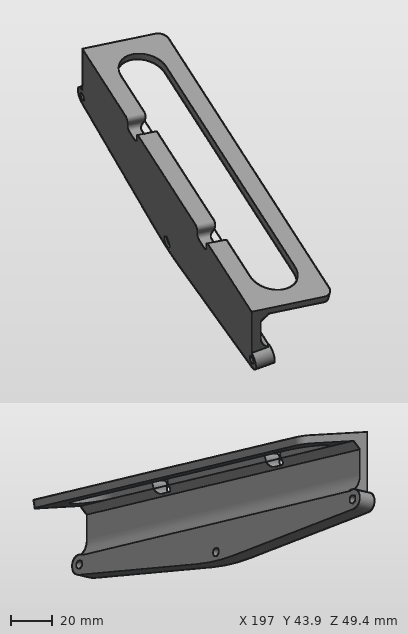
import cadquery as cq
import math

body_length = 187.0
wall_thickness = 5.0
part_height = 49.36

band_depth = 10.0
ear_radius = 5.0
ear_drop = 35.0
ear_hole_diameter = 4.0
cove_radius = 10.0
cove_drop = 22.0
tip_radius = 120.0

middle_hole_drop = 45.0
middle_hole_diameter = 4.0
countersink_diameter = 6.0
countersink_angle = 90.0

plate_angle = 12.0
part_depth = 43.87
top_flat = 0.3
plate_thickness = 4.0
plate_corner_radius = 5.0
gusset_leg = 4.4

slot_margin = 10.0

notch_spacing = 77.0
notch_width = 10.0
notch_depth = 7.0
notch_radius = 2.5

half_length = body_length / 2
slope = math.radians(plate_angle)
plate_length = (part_depth - top_flat) / math.cos(slope)
wall_top_back_z = (top_flat - wall_thickness) * math.tan(slope)


def extrude_along_y(sketch, depth):
    """Extrude an XZ sketch from the front face towards +Y."""
    return sketch.extrude(-depth)


def cylinder_along_y(x, z, diameter, depth):
    """Cylinder from the front face towards +Y, centred on (x, z)."""
    circle = cq.Workplane("XZ").center(x, z).circle(diameter / 2)
    return extrude_along_y(circle, depth)


def make_outline_block():
    """Solid with the front outline of wall and band, ears left out."""
    tip_centre_z = tip_radius - part_height
    rise = tip_centre_z + ear_drop
    centre_distance = math.hypot(half_length, rise)
    tilt = math.asin((tip_radius - ear_radius) / centre_distance) - math.atan2(rise, half_length)
    normal_x = math.sin(tilt)
    normal_z = math.cos(tilt)
    ear_x = half_length + ear_radius * normal_x
    ear_z = -ear_drop - ear_radius * normal_z
    tip_x = tip_radius * normal_x
    tip_z = tip_centre_z - tip_radius * normal_z
    sketch = (
        cq.Workplane("XZ")
        .moveTo(-half_length, 0)
        .lineTo(half_length, 0)
        .lineTo(half_length, -ear_drop)
        .lineTo(ear_x, ear_z)
        .lineTo(tip_x, tip_z)
        .threePointArc((0, -part_height), (-tip_x, tip_z))
        .lineTo(-ear_x, ear_z)
        .lineTo(-half_length, -ear_drop)
        .close()
    )
    return extrude_along_y(sketch, band_depth)


def make_wall():
    """Wall that thickens into the lower band through a concave cove."""
    band_step = band_depth - wall_thickness
    cove_end_z = -cove_drop - math.sqrt(cove_radius**2 - (cove_radius - band_step) ** 2)
    profile = (
        cq.Workplane("YZ")
        .lineTo(top_flat, 0)
        .lineTo(wall_thickness, wall_top_back_z)
        .lineTo(wall_thickness, -cove_drop)
        .radiusArc((band_depth, cove_end_z), -cove_radius)
        .lineTo(band_depth, -part_height)
        .lineTo(0, -part_height)
        .close()
        .extrude(half_length + ear_radius, both=True)
    )
    wall = make_outline_block().intersect(profile)
    for side in (-1, 1):
        ear = cylinder_along_y(side * half_length, -ear_drop, 2 * ear_radius, band_depth)
        wall = wall.union(ear)
    return wall


def make_plate():
    """Sloping plate with its gusset and long slot."""
    plane = cq.Plane(
        origin=(0, top_flat, 0),
        xDir=(1, 0, 0),
        normal=(0, math.sin(slope), math.cos(slope)),
    )
    plate = (
        cq.Workplane(plane)
        .center(0, plate_length / 2)
        .rect(body_length, plate_length)
        .extrude(-plate_thickness)
        .faces(">Y")
        .edges("not |X")
        .fillet(plate_corner_radius)
    )
    corner_z = wall_top_back_z - plate_thickness / math.cos(slope)
    gusset = (
        cq.Workplane("YZ")
        .moveTo(0, corner_z)
        .lineTo(wall_thickness, corner_z)
        .lineTo(
            wall_thickness + gusset_leg * math.cos(slope),
            corner_z - gusset_leg * math.sin(slope),
        )
        .lineTo(wall_thickness, corner_z - gusset_leg)
        .lineTo(0, corner_z - gusset_leg)
        .close()
        .extrude(half_length, both=True)
    )
    slot = (
        cq.Workplane(plane)
        .center(0, plate_length / 2)
        .slot2D(body_length - 2 * slot_margin, plate_length - 2 * slot_margin)
        .extrude(-plate_thickness)
    )
    front_trim = (
        cq.Workplane("XY")
        .box(2 * body_length, band_depth, part_height, centered=(True, False, True))
        .translate((0, -band_depth, 0))
    )
    return plate.cut(slot).cut(front_trim).union(gusset)


def make_notch(x):
    """Cutter for a notch that runs down the slope as far as the slot wall."""
    notch_plane = cq.Plane(
        origin=(0, top_flat, 0),
        xDir=(1, 0, 0),
        normal=(0, -math.cos(slope), math.sin(slope)),
    )
    half = notch_width / 2
    sketch = (
        cq.Workplane(notch_plane)
        .workplane(offset=notch_depth)
        .moveTo(x - half - notch_radius, 0)
        .radiusArc((x - half, -notch_radius), notch_radius)
        .lineTo(x - half, notch_radius - notch_depth)
        .radiusArc((x - half + notch_radius, -notch_depth), -notch_radius)
        .lineTo(x + half - notch_radius, -notch_depth)
        .radiusArc((x + half, notch_radius - notch_depth), -notch_radius)
        .lineTo(x + half, -notch_radius)
        .radiusArc((x + half + notch_radius, 0), notch_radius)
        .close()
    )
    return sketch.extrude(-notch_depth - slot_margin)


def make_middle_hole():
    """Cutter for the through hole, countersunk from the front face."""
    hole = cylinder_along_y(0, -middle_hole_drop, middle_hole_diameter, band_depth)
    sink_depth = countersink_diameter / 2 / math.tan(math.radians(countersink_angle / 2))
    sink = cq.Solid.makeCone(
        countersink_diameter / 2,
        0,
        sink_depth,
        pnt=cq.Vector(0, 0, -middle_hole_drop),
        dir=cq.Vector(0, 1, 0),
    )
    return hole.union(cq.Workplane(sink))


result = make_wall().union(make_plate()).cut(make_middle_hole())
for side in (-1, 1):
    ear_hole = cylinder_along_y(side * half_length, -ear_drop, ear_hole_diameter, band_depth)
    result = result.cut(ear_hole)
    result = result.cut(make_notch(side * notch_spacing / 2))